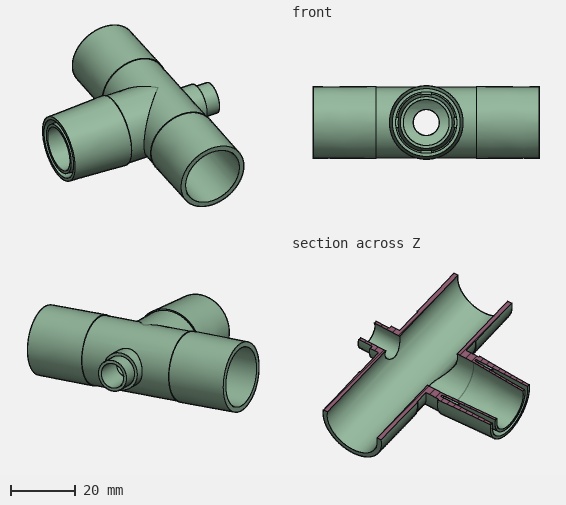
import cadquery as cq

run_length = 70.0
body_diameter = 22.0
run_bore_diameter = 19.0
run_shoulder_diameter = 22.4
run_end_diameter = 22.2
socket_length = 19.45

branch_reach = 35.0
branch_shoulder_diameter = 22.8
branch_end_diameter = 21.0

groove_diameter = 19.0
sleeve_mouth_diameter = 16.0
sleeve_floor_diameter = 18.0
groove_depth = socket_length
bore_mouth_diameter = 14.2
sleeve_wall = (sleeve_mouth_diameter - bore_mouth_diameter) / 2
bore_floor_diameter = sleeve_floor_diameter - 2 * sleeve_wall

rib_count = 4
rib_width = 3.2
rib_height = 6.3

stub_reach = 19.0
stub_diameter = 10.0
stub_length = 5.0
stub_collar_diameter = 12.0
stub_hole_diameter = 8.0

groove_floor_y = groove_depth - branch_reach


def run_solid(points):
    """Solid of revolution about X from (x, diameter) pairs."""
    outline = [(x, diameter / 2) for x, diameter in points]
    outline = [(points[0][0], 0)] + outline + [(points[-1][0], 0)]
    return cq.Workplane("XY").polyline(outline).close().revolve(360, (0, 0, 0), (1, 0, 0))


def branch_solid(points):
    """Solid of revolution about Y from (y, diameter) pairs."""
    outline = [(diameter / 2, y) for y, diameter in points]
    outline = [(0, points[0][0])] + outline + [(0, points[-1][0])]
    return cq.Workplane("XY").polyline(outline).close().revolve(360, (0, 0, 0), (0, 1, 0))


def run_outside():
    end_x = run_length / 2
    shoulder_x = end_x - socket_length
    return run_solid([
        (-end_x, run_end_diameter),
        (-shoulder_x, run_shoulder_diameter),
        (-shoulder_x, body_diameter),
        (shoulder_x, body_diameter),
        (shoulder_x, run_shoulder_diameter),
        (end_x, run_end_diameter),
    ])


def branch_outside():
    shoulder_y = socket_length - branch_reach
    return branch_solid([
        (-branch_reach, branch_end_diameter),
        (shoulder_y, branch_shoulder_diameter),
        (shoulder_y, body_diameter),
        (0, body_diameter),
    ])


def stub_outside():
    step_y = stub_reach - stub_length
    return branch_solid([
        (0, stub_collar_diameter),
        (step_y, stub_collar_diameter),
        (step_y, stub_diameter),
        (stub_reach, stub_diameter),
    ])


def ribs():
    """Radial blocks standing on the groove floor, one on each side of the sleeve."""
    block = cq.Workplane("XY").box(
        groove_diameter / 2, rib_height, rib_width, centered=(False, False, True)
    ).translate((0, groove_floor_y - rib_height, 0))
    blocks = block
    for index in range(1, rib_count):
        blocks = blocks.union(block.rotate((0, 0, 0), (0, 1, 0), index * 360 / rib_count))
    return blocks


def mouth_groove():
    well = branch_solid([(-branch_reach, groove_diameter), (groove_floor_y, groove_diameter)])
    sleeve = branch_solid([
        (-branch_reach, sleeve_mouth_diameter),
        (groove_floor_y, sleeve_floor_diameter),
    ])
    return well.cut(sleeve).cut(ribs())


def branch_bore():
    """Bore widening through the sleeve, then straight into the run."""
    return branch_solid([
        (-branch_reach, bore_mouth_diameter),
        (groove_floor_y, bore_floor_diameter),
        (0, bore_floor_diameter),
    ])


run_bore = run_solid([
    (-run_length / 2, run_bore_diameter),
    (run_length / 2, run_bore_diameter),
])
stub_hole = branch_solid([(0, stub_hole_diameter), (stub_reach, stub_hole_diameter)])

result = (
    run_outside()
    .union(branch_outside())
    .union(stub_outside())
    .cut(mouth_groove())
    .cut(run_bore)
    .cut(branch_bore())
    .cut(stub_hole)
)